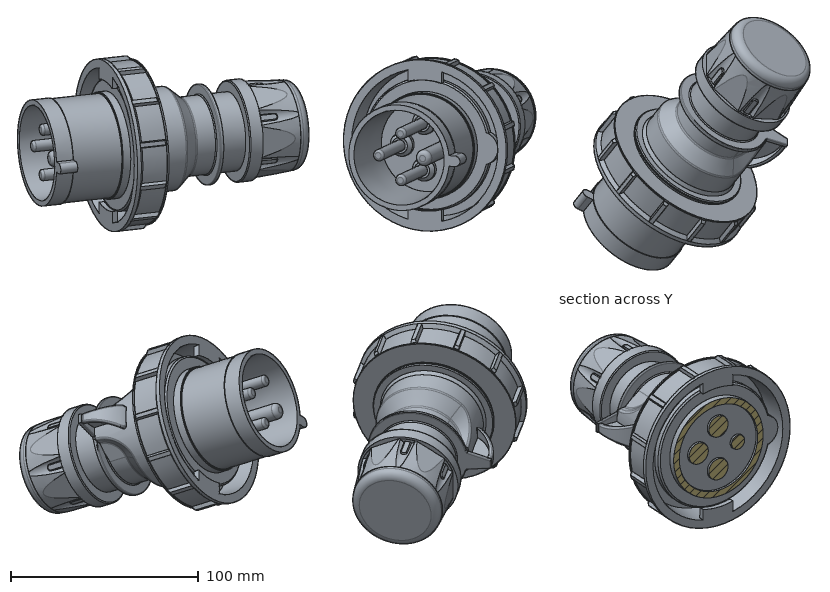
import cadquery as cq
import math


total_length = 147.5
shroud_radius = 28.0
overlap = 1.0

mouth_radius = 28.5
mouth_length = 9.7
bore_mouth_radius = 25.6
bore_floor_radius = 24.9
bore_depth = 40.0
step_radius = 28.8
step_front = 37.5
step_chamfer = 0.4
key_width = 5.8
key_reach = 34.6
pin_circle_radius = 12.6
pin_front = 2.0
pin_tip_radius = 1.7
phase_pin_radius = 3.05
earth_pin_radius = 4.3
pin_boss_radius = 6.3
pin_boss_top_radius = 4.3
pin_boss_height = 5.0

seal_radius = 35.8
seal_front = 42.3
seal_thickness = 4.0
seal_chamfer = 0.9
seal_lobe_radius = 8.9
seal_lobe_reach = 40.3

ring_radius = 46.25
ring_front = 39.3
ring_rear = 58.0
ring_lip = 2.2
ring_lip_slope = 1.7
ring_wall_radius = 44.0
ring_rear_band_radius = 44.5
ring_rear_band = 0.9
ring_bore_radius = 41.5
ring_bore_rear_radius = 40.3
ring_floor = 54.0
rib_count = 12
rib_radius = 46.2
rib_foot_width = 3.9
rib_crest_width = 2.3
rib_chamfer = 1.3
tab_inner_radius = 35.4
tab_half_angle = 15.0
tab_thickness = 3.0
tab_flare = 0.5

collar_radius = 33.1
collar_rear = 60.7
collar_rim = 0.7
collar_edge_radius = 32.6
collar_foot_radius = 29.0
collar_blend_rear = 63.0
shoulder_front = 74.9
neck_front = 82.9
neck_radius = 21.3
shoulder_fillet = 1.5
guard_radius = 27.1
guard_front = 94.3
guard_rear = 96.3
guard_foot = 0.6
guard_edge_round = 0.4

scoop_angle = 132.5

lever_reach = 40.0
lever_foot = 73.7
lever_straight_end = 92.8
lever_foot_round = 1.8
lever_wall = 2.2
lever_tip_half_width = 2.6
lever_middle_half_width = 4.0
lever_foot_half_width = 7.6
lever_edge_round = 0.9
lever_root_half_width = 5.6
lever_web_thickness = 1.6

nut_front = 111.0
nut_rear = 118.6
nut_radius = 27.4
nut_chamfer = 0.6
cap_base_radius = 26.2
cap_shoulder_radius = 24.5
cap_shoulder = 141.3
cap_band_radius = 24.3
cap_band_rear = 142.9
cap_end_radius = 19.7
grip_count = 6
flat_distance = 24.75
flute_radius = 5.0
flute_end_radius = 24.4
flute_depth = 2.6
grip_rib_width = 4.0
grip_rib_end = 129.4
grip_rib_height = 1.2
grip_rib_bevel = 0.6


def turned(points):
    """Solid of revolution about Y from (radius, y) points."""
    return cq.Workplane("XY").polyline(points).close().revolve(360, (0, 0, 0), (0, 1, 0))


def cylinder(radius, front, rear, x=0.0, z=0.0):
    """Cylinder along +Y from y = front to y = rear."""
    return cq.Workplane("XZ", origin=(x, front, z)).circle(radius).extrude(front - rear)


def about_axis(shape, angle):
    """Turn a shape made on the +X side about the plug axis, from +X towards +Z."""
    return shape.rotate((0, 0, 0), (0, 1, 0), -angle)


def make_shroud():
    shroud = turned([
        (0, 0),
        (mouth_radius, 0),
        (mouth_radius, mouth_length),
        (shroud_radius, mouth_length),
        (shroud_radius, step_front),
        (step_radius - step_chamfer, step_front),
        (step_radius, step_front + step_chamfer),
        (step_radius, ring_rear),
        (0, ring_rear),
    ])
    key_round = key_width / 2
    key = cylinder(key_round, 0, mouth_length, x=key_reach - key_round)
    key_root = bore_mouth_radius + key_round / 2
    key_web_length = key_reach - key_round - key_root
    key_web = cq.Workplane("XY").box(key_web_length, mouth_length, key_width, centered=(False, False, True))
    shroud = shroud.union(key).union(key_web.translate((key_root, 0, 0)))
    bore = turned([(0, 0), (bore_mouth_radius, 0), (bore_floor_radius, bore_depth), (0, bore_depth)])
    return shroud.cut(bore)


def make_pin(radius):
    """Round-nosed pin on the plug axis, rooted below the bore floor."""
    nose = radius - pin_tip_radius
    diagonal = nose * math.sqrt(0.5)
    return (
        cq.Workplane("XY")
        .moveTo(0, pin_front)
        .lineTo(pin_tip_radius, pin_front)
        .threePointArc(
            (pin_tip_radius + diagonal, pin_front + nose - diagonal),
            (radius, pin_front + nose),
        )
        .lineTo(radius, bore_depth + overlap)
        .lineTo(0, bore_depth + overlap)
        .close()
        .revolve(360, (0, 0, 0), (0, 1, 0))
    )


def make_pins():
    pins = make_pin(earth_pin_radius).translate((pin_circle_radius, 0, 0))
    boss = turned([
        (0, bore_depth - pin_boss_height),
        (pin_boss_top_radius, bore_depth - pin_boss_height),
        (pin_boss_radius, bore_depth - pin_boss_height / 2),
        (pin_boss_radius, bore_depth + overlap),
        (0, bore_depth + overlap),
    ])
    phase_pin = make_pin(phase_pin_radius).union(boss).translate((pin_circle_radius, 0, 0))
    for angle in (90, 180, 270):
        pins = pins.union(about_axis(phase_pin, angle))
    return pins


def make_seal_flange():
    seal_rear = seal_front + seal_thickness
    disc = cylinder(seal_radius, seal_front, seal_rear).faces("<Y").chamfer(seal_chamfer)
    lobe = cylinder(seal_lobe_radius, seal_front, seal_rear, x=seal_lobe_reach - seal_lobe_radius)
    return disc.union(lobe)


def make_locking_ring():
    band_front = ring_rear - ring_rear_band
    ring = turned([
        (0, ring_rear),
        (ring_rear_band_radius, ring_rear),
        (ring_rear_band_radius, band_front),
        (ring_wall_radius, band_front),
        (ring_wall_radius, ring_front + ring_lip + ring_lip_slope),
        (ring_radius, ring_front + ring_lip),
        (ring_radius, ring_front),
        (ring_bore_radius, ring_front),
        (ring_bore_rear_radius, ring_floor),
        (0, ring_floor),
    ])
    rib = make_ring_rib(band_front)
    half_pitch = 180 / rib_count
    for index in range(rib_count):
        ring = ring.union(about_axis(rib, (2 * index + 1) * half_pitch))
    return ring.union(make_ring_tabs())


def make_ring_rib(rear):
    """Tapered grip rib along the +X side of the ring, with a bevelled rear end."""
    foot_radius = ring_bore_radius + overlap
    foot_half = rib_foot_width / 2
    crest_half = rib_crest_width / 2
    return (
        cq.Workplane("XZ", origin=(0, ring_front, 0))
        .polyline([
            (foot_radius, -foot_half),
            (rib_radius, -crest_half),
            (rib_radius, crest_half),
            (foot_radius, foot_half),
        ])
        .close()
        .extrude(ring_front - rear)
        .faces(">Y").edges(">X").chamfer(rib_chamfer)
    )


def make_ring_tabs():
    """Two bayonet tabs at the front of the ring bore, on the +Z and -Z sides."""
    outer = ring_bore_radius + overlap
    half_width = tab_inner_radius * math.sin(math.radians(tab_half_angle))
    annulus = cylinder(outer, ring_front, ring_front + tab_thickness).cut(
        cylinder(tab_inner_radius, ring_front, ring_front + tab_thickness)
    )
    wedges = (
        cq.Workplane("XZ", origin=(0, ring_front, 0))
        .polyline([
            (-half_width - tab_flare, outer),
            (half_width + tab_flare, outer),
            (half_width, 0),
            (half_width + tab_flare, -outer),
            (-half_width - tab_flare, -outer),
            (-half_width, 0),
        ])
        .close()
        .extrude(-tab_thickness)
    )
    return annulus.intersect(wedges)


def make_housing():
    housing = turned([
        (0, ring_floor),
        (collar_edge_radius, ring_floor),
        (collar_edge_radius, collar_rear - 2 * collar_rim),
        (collar_radius, collar_rear - 2 * collar_rim),
        (collar_radius, collar_rear - collar_rim),
        (collar_edge_radius, collar_rear),
        (collar_foot_radius, collar_rear),
        (shroud_radius, collar_blend_rear),
        (shroud_radius, guard_front),
        (0, guard_front),
    ])
    past = ring_radius
    neck_cut = turned([
        (neck_radius, guard_front),
        (neck_radius, neck_front),
        (shroud_radius, shoulder_front),
        (past, shoulder_front),
        (past, guard_front),
    ])
    keep_angle = 180 - scoop_angle
    keep_half = past * math.tan(math.radians(keep_angle))
    tongue_sector = (
        cq.Workplane("XZ", origin=(0, shoulder_front - overlap, 0))
        .polyline([(0, 0), (-past, keep_half), (-past, -keep_half)])
        .close()
        .extrude(shoulder_front - overlap - guard_front)
    )
    housing = housing.cut(neck_cut.cut(tongue_sector))
    for angle in (scoop_angle, -scoop_angle):
        housing = housing.cut(about_axis(make_scoop(), angle))
    shoulder_edges = cq.selectors.BoxSelector(
        (-past, shoulder_front - overlap, -past),
        (past, guard_front - guard_foot / 2, past),
    )
    return housing.edges(shoulder_edges).fillet(shoulder_fillet)


def make_scoop():
    """Conical cutter with a radial axis that carries the shoulder slope round into the guard disc."""
    floor_radius = guard_front - neck_front
    rim_radius = guard_front - shoulder_front
    slope = (rim_radius - floor_radius) / (shroud_radius - neck_radius)
    top = shroud_radius + overlap
    return (
        cq.Workplane("XY")
        .polyline([
            (neck_radius, guard_front),
            (neck_radius, guard_front - floor_radius),
            (top, guard_front - rim_radius - slope * overlap),
            (top, guard_front),
        ])
        .close()
        .revolve(360, (0, guard_front, 0), (1, guard_front, 0))
    )


def make_guard():
    disc = cylinder(guard_radius, guard_front, guard_rear)
    front_foot_end = guard_front - guard_foot
    neck = turned([
        (0, front_foot_end),
        (neck_radius, front_foot_end),
        (neck_radius + guard_foot, guard_front),
        (neck_radius + guard_foot, guard_rear),
        (neck_radius, guard_rear + guard_foot),
        (neck_radius, nut_front),
        (0, nut_front),
    ])
    tab = (
        cq.Workplane("XZ", origin=(0, guard_front, 0))
        .polyline([
            (-neck_radius, guard_radius / 2),
            (-guard_radius, lever_root_half_width),
            (-lever_reach, lever_tip_half_width),
            (-lever_reach, -lever_tip_half_width),
            (-guard_radius, -lever_root_half_width),
            (-neck_radius, -guard_radius / 2),
        ])
        .close()
        .extrude(guard_front - guard_rear)
    )
    plate = disc.union(tab).faces("<Y or >Y").edges().fillet(guard_edge_round)
    return plate.union(neck)


def lever_outline(inset):
    """Quarter-round lever side profile, inset from its outer edge."""
    reach = lever_reach - inset
    foot = lever_foot + inset
    root = shroud_radius - 2 * overlap
    return (
        cq.Workplane("XY")
        .moveTo(-root, guard_front)
        .lineTo(-reach, guard_front)
        .lineTo(-reach, lever_straight_end)
        .tangentArcPoint((-shroud_radius, foot), relative=False)
        .lineTo(-root, foot)
        .close()
    )


def make_lever():
    shell = lever_outline(0).extrude(lever_foot_half_width, both=True)
    shell = shell.cut(lever_outline(lever_wall).extrude(2 * lever_foot_half_width, both=True))
    web = lever_outline(lever_wall / 2).extrude(lever_web_thickness / 2, both=True)
    strip = shell.intersect(make_lever_flare())
    strip = strip.faces("<X").edges("not |Z").fillet(lever_edge_round)
    return strip.union(web)


def make_lever_flare():
    """Lever outline across its width: narrow at the guard disc, flared and round-cornered at the foot."""
    tip = lever_tip_half_width
    middle_y = (guard_front + lever_foot) / 2
    middle = lever_middle_half_width
    foot = lever_foot_half_width
    return (
        cq.Workplane("YZ", origin=(-lever_reach, 0, 0))
        .moveTo(guard_front, -tip)
        .lineTo(guard_front, tip)
        .threePointArc((middle_y, middle), (lever_foot, foot))
        .lineTo(lever_foot, -foot)
        .threePointArc((middle_y, -middle), (guard_front, -tip))
        .close()
        .extrude(lever_reach - neck_radius)
        .edges("|X and <Y").fillet(lever_foot_round)
    )


def make_gland_nut():
    base = cylinder(nut_radius, nut_front, nut_rear).faces("<Y").chamfer(nut_chamfer)
    return base.union(make_cap())


def make_cap():
    cap = (
        cq.Workplane("XY")
        .moveTo(0, nut_front + overlap)
        .lineTo(cap_base_radius, nut_front + overlap)
        .lineTo(cap_base_radius, nut_rear)
        .lineTo(cap_shoulder_radius, cap_shoulder)
        .lineTo(cap_band_radius, cap_shoulder)
        .lineTo(cap_band_radius, cap_band_rear)
        .tangentArcPoint((cap_end_radius, total_length), relative=False)
        .lineTo(0, total_length)
        .close()
        .revolve(360, (0, 0, 0), (0, 1, 0))
    )
    for index in range(grip_count):
        flat_angle = index * 360 / grip_count
        flute_angle = flat_angle + 180 / grip_count
        cap = cap.cut(about_axis(make_flat_cutter(), flat_angle))
        cap = cap.cut(about_axis(make_flute_cutter(), flute_angle))
        cap = cap.union(about_axis(make_grip_rib(), flute_angle))
    return cap


def make_flat_cutter():
    """Block that leaves a flat on the cap; it runs out where the cap taper reaches the flat."""
    depth = nut_radius - flat_distance
    block = cq.Workplane("XY").box(
        depth, cap_shoulder - nut_rear, 2 * cap_base_radius, centered=(False, False, True)
    )
    return block.translate((flat_distance, nut_rear, 0))


def make_flute_cutter():
    """Round groove along the cap that runs out at the cap shoulder."""
    rise = cap_shoulder - nut_rear
    drop = cap_base_radius - flute_depth - flute_end_radius
    tilt = math.degrees(math.atan2(drop, rise))
    groove = cylinder(flute_radius, 0, rise)
    groove = groove.rotate((0, 0, 0), (0, 0, 1), tilt)
    return groove.translate((cap_base_radius - flute_depth + flute_radius, nut_rear, 0))


def make_grip_rib():
    inner = cap_base_radius - 2 * flute_depth
    outer = cap_base_radius - flute_depth + grip_rib_height
    half = grip_rib_width / 2
    return (
        cq.Workplane("YZ", origin=(inner, 0, 0))
        .moveTo(nut_rear, -half)
        .lineTo(grip_rib_end - half, -half)
        .threePointArc((grip_rib_end, 0), (grip_rib_end - half, half))
        .lineTo(nut_rear, half)
        .close()
        .extrude(outer - inner)
        .faces(">X").edges("not <Y").chamfer(grip_rib_bevel)
    )


result = (
    make_shroud()
    .union(make_pins())
    .union(make_seal_flange())
    .union(make_locking_ring())
    .union(make_housing())
    .union(make_guard())
    .union(make_lever())
    .union(make_gland_nut())
)